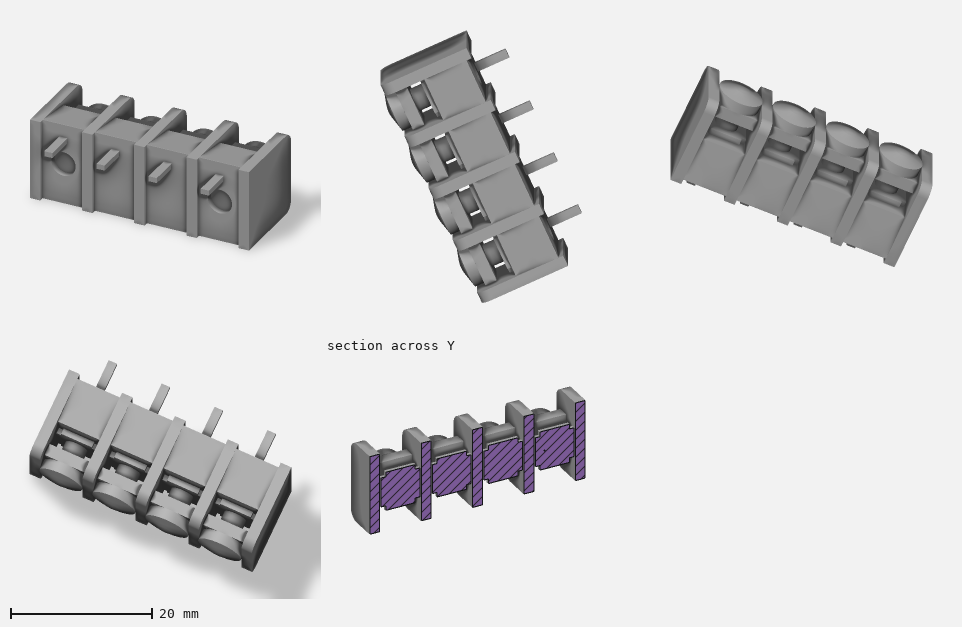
import cadquery as cq
import math

pole_count = 4
pitch = 8.255
wall_thickness = 1.65
housing_height = 12.7
gap_width = pitch - wall_thickness
mid_height = housing_height / 2

wall_depth = 13.46
wall_corner_radius = 1.65

block_front = 0.76
block_rear = 7.42
block_land = 0.1
block_taper_angle = 8.0

recess_diameter = 3.81
recess_depth = 1.0

pin_width = 1.3
pin_thickness = 0.81
pin_center_height = 10.28
pin_projection = 4.1

terminal_size = 6.28
terminal_thickness = 0.86
terminal_notch = 0.75

clamp_size = 6.45
clamp_front = 10.33
clamp_thickness = 1.77

shank_diameter = 3.43
head_diameter = 6.66
head_height = 2.34
head_cone_angle = 15.5
head_tip_radius = 4.0

clamp_rear = clamp_front + clamp_thickness


def box_from(x_center, y_front, z_center, width, depth, height):
    """Box centred in X and Z whose front face lies at y_front."""
    return cq.Workplane("XY").box(width, depth, height).translate(
        (x_center, y_front + depth / 2, z_center)
    )


def rod_from(x_center, y_front, diameter, length):
    """Cylinder at mid height, pointing towards +Y."""
    return (
        cq.Workplane("XZ")
        .circle(diameter / 2)
        .extrude(-length)
        .translate((x_center, y_front, mid_height))
    )


def barrier_wall(x_left):
    wall = box_from(
        x_left + wall_thickness / 2, 0, mid_height, wall_thickness, wall_depth, housing_height
    )
    return wall.faces(">Y").edges("|X").fillet(wall_corner_radius)


def tapered_block():
    """One block running through all the walls."""
    taper_front = block_front + block_land
    drop = (block_rear - taper_front) * math.tan(math.radians(block_taper_angle))
    return (
        cq.Workplane("YZ")
        .moveTo(block_front, 0)
        .lineTo(taper_front, 0)
        .lineTo(block_rear, drop)
        .lineTo(block_rear, housing_height - drop)
        .lineTo(taper_front, housing_height)
        .lineTo(block_front, housing_height)
        .close()
        .extrude(pole_count * pitch)
        .translate((wall_thickness / 2, 0, 0))
    )


def solder_pin(x_center):
    return box_from(
        x_center, -pin_projection, pin_center_height,
        pin_width, pin_projection + block_front, pin_thickness,
    )


def terminal_plate(x_center):
    """Two crossed rectangles leave a square notch at each corner."""
    narrow = terminal_size - 2 * terminal_notch
    upright = box_from(x_center, block_rear, mid_height, narrow, terminal_thickness, terminal_size)
    crosswise = box_from(x_center, block_rear, mid_height, terminal_size, terminal_thickness, narrow)
    return upright.union(crosswise)


def clamp_plate(x_center):
    return box_from(x_center, clamp_front, mid_height, clamp_size, clamp_thickness, clamp_size)


def screw_head(x_center):
    """Cylindrical rim under a shallow cone whose tip is rounded by a tangent arc."""
    radius = head_diameter / 2
    cone_angle = math.radians(head_cone_angle)
    peak = clamp_rear + head_height
    arc_center = peak - head_tip_radius
    tangent_point = (
        arc_center + head_tip_radius * math.cos(cone_angle),
        head_tip_radius * math.sin(cone_angle),
    )
    arc_middle = (
        arc_center + head_tip_radius * math.cos(cone_angle / 2),
        head_tip_radius * math.sin(cone_angle / 2),
    )
    rim_rear = tangent_point[0] - (radius - tangent_point[1]) * math.tan(cone_angle)
    return (
        cq.Workplane("YZ")
        .moveTo(clamp_rear, 0)
        .lineTo(clamp_rear, radius)
        .lineTo(rim_rear, radius)
        .lineTo(*tangent_point)
        .threePointArc(arc_middle, (peak, 0))
        .close()
        .revolve(360, (0, 0, 0), (1, 0, 0))
        .translate((x_center, 0, mid_height))
    )


def screw_shank(x_center):
    return rod_from(x_center, block_rear, shank_diameter, clamp_rear - block_rear)


result = tapered_block()
for index in range(pole_count + 1):
    result = result.union(barrier_wall(index * pitch))

pole_centers = [wall_thickness + gap_width / 2 + index * pitch for index in range(pole_count)]
for x_center in pole_centers:
    for make_feature in (solder_pin, terminal_plate, clamp_plate, screw_shank, screw_head):
        result = result.union(make_feature(x_center))

for x_center in (pole_centers[0], pole_centers[-1]):
    result = result.cut(rod_from(x_center, block_front, recess_diameter, recess_depth))